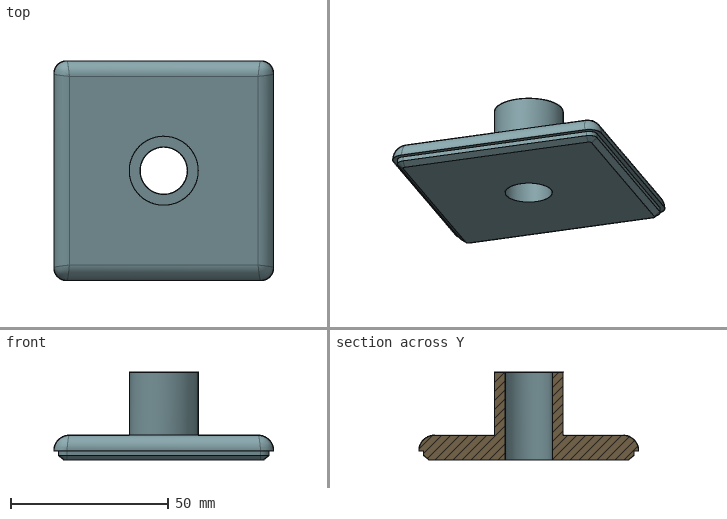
import cadquery as cq

plate_side = 70.0
total_height = 28.0
plate_thickness = 8.0

rim_height = 2.9
rim_inset = 1.5
rim_chamfer_height = 1.5
rim_chamfer_width = 1.8

corner_radius = 4.1
edge_radius = 5.0

tube_diameter = 22.0
bore_diameter = 15.0


def make_rim():
    """Rounded square slab with a chamfered lower edge."""
    side = plate_side - 2 * rim_inset
    rim = cq.Workplane("XY").rect(side, side).extrude(rim_height)
    rim = rim.edges("|Z").fillet(corner_radius - rim_inset)
    return rim.faces("<Z").chamfer(rim_chamfer_height, rim_chamfer_width)


def make_cap():
    """Square slab with rounded corners and a broad rounded upper edge."""
    cap = (
        cq.Workplane("XY")
        .workplane(offset=rim_height)
        .rect(plate_side, plate_side)
        .extrude(plate_thickness - rim_height)
    )
    cap = cap.edges("|Z").fillet(corner_radius)
    return cap.faces(">Z").edges().fillet(edge_radius)


tube = cq.Workplane("XY").circle(tube_diameter / 2).extrude(total_height)
bore = cq.Workplane("XY").circle(bore_diameter / 2).extrude(total_height)

result = make_rim().union(make_cap()).union(tube).cut(bore)